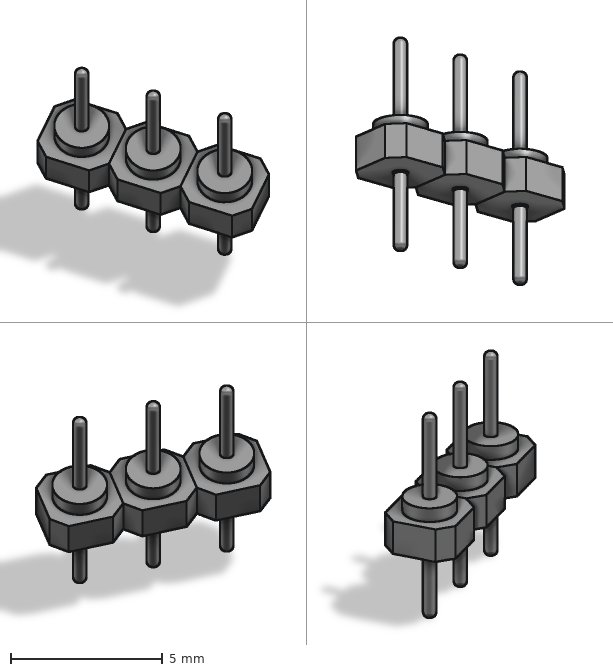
import cadquery as cq

row_length = 7.62
position_count = 3
pitch = row_length / position_count

housing_height = 1.2
corner_chamfer = 0.5

pin_diameter = 0.46
pin_radius = pin_diameter / 2
head_diameter = 1.81
head_height = 0.5
pin_length_above_head = 3.05
pin_length_below_housing = 2.75
tip_flat_radius = 0.015
tip_rounding = pin_radius - tip_flat_radius

seat_diameter = 0.52
seat_radius = seat_diameter / 2
taper_height = 0.06

head_top = housing_height + head_height
pin_top = head_top + pin_length_above_head
pin_bottom = -pin_length_below_housing


def make_housing(x):
    """Octagonal block with a through hole for the pin seat."""
    return (
        cq.Workplane("XY")
        .center(x, 0)
        .rect(pitch, pitch)
        .extrude(housing_height)
        .edges("|Z")
        .chamfer(corner_chamfer)
        .faces(">Z")
        .workplane(origin=(x, 0, housing_height))
        .hole(seat_diameter)
    )


def make_pin(x):
    """Revolved pin with its head, seat, taper and two rounded tips."""
    return (
        cq.Workplane("XZ")
        .moveTo(0, pin_bottom)
        .lineTo(pin_radius, pin_bottom)
        .lineTo(pin_radius, -taper_height)
        .lineTo(seat_radius, 0)
        .lineTo(seat_radius, housing_height)
        .lineTo(head_diameter / 2, housing_height)
        .lineTo(head_diameter / 2, head_top)
        .lineTo(pin_radius, head_top)
        .lineTo(pin_radius, pin_top)
        .lineTo(0, pin_top)
        .close()
        .revolve(360, (0, 0, 0), (0, 1, 0))
        .faces("<Z or >Z")
        .edges()
        .fillet(tip_rounding)
        .translate((x, 0, 0))
    )


first_x = -(position_count - 1) * pitch / 2
bodies = []
for position in range(position_count):
    x = first_x + position * pitch
    housing = make_housing(x)
    pin = make_pin(x)
    bodies.append(housing.val())
    bodies.append(pin.val())

result = cq.Compound.makeCompound(bodies)